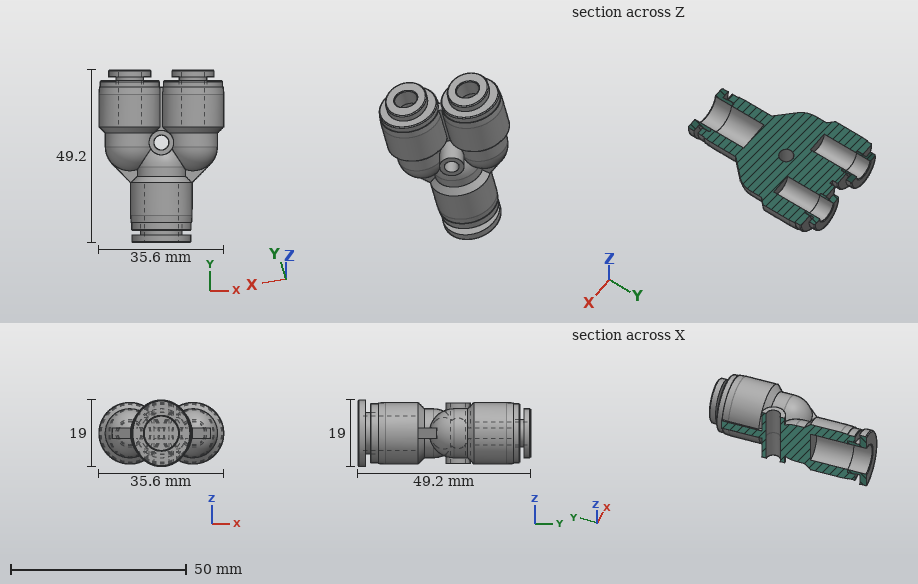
import cadquery as cq
import math


port_spacing = 18.0
barrel_radius = 17.6 / 2
taper_depth = 0.15
taper_end_radius = barrel_radius - taper_depth
collar_radius = 16.9 / 2
neck_radius = 14.0 / 2
shoulder_length = barrel_radius - neck_radius
taper_length = 2.0

small_dome_y = -1.2
small_shoulder_y = 4.5
small_taper_y = 13.75
small_collar_length = 1.85
small_collar_chamfer = 0.3

large_dome_y = neck_radius
large_shoulder_y = 11.4
large_taper_y = 20.7
large_collar_length = 2.3
large_collar_chamfer = 0.2

small_sleeve_diameter = 7.9
small_bore_diameter = 6.55
small_flange_width = 12.0
small_flange_height = 14.0
small_flange_thickness = 2.0
small_flange_gap = 1.1
large_sleeve_diameter = 11.9
large_bore_diameter = 9.75
large_flange_width = 16.8
large_flange_height = 19.0
large_flange_thickness = 2.2
large_flange_gap = 1.3
flange_chamfer = 0.3
bore_chamfer = 0.25

boss_diameter = 7.0
boss_height = 17.3
mounting_hole_diameter = 4.2
web_thickness = 3.0

small_collar_y = small_taper_y + taper_length
small_face_y = small_collar_y + small_collar_length
large_face_y = large_taper_y + taper_length + large_collar_length
small_port_xs = (-port_spacing / 2, port_spacing / 2)


def place_port(shape, x, facing):
    """Move a shape built along +Y to a port at x, turned to face +Y (1) or -Y (-1)."""
    turned = shape if facing > 0 else shape.rotate((0, 0, 0), (0, 0, 1), 180)
    return turned.translate((x, 0, 0))


def cylinder_y(diameter, start_y, length):
    """Cylinder on the Y axis, running toward +Y from start_y."""
    circle = cq.Workplane("XZ", origin=(0, start_y, 0)).circle(diameter / 2)
    return circle.extrude(-length)


def port_shell(dome_y, shoulder_y, taper_y, face_y, collar_chamfer):
    """Solid port along +Y: dome, neck, shoulder, barrel, tapered end and collar."""
    taper_end_y = taper_y + taper_length
    dome_middle = neck_radius * math.sqrt(0.5)
    return (
        cq.Workplane("XY")
        .moveTo(0, dome_y - neck_radius)
        .threePointArc((dome_middle, dome_y - dome_middle), (neck_radius, dome_y))
        .lineTo(neck_radius, shoulder_y - shoulder_length)
        .lineTo(barrel_radius, shoulder_y)
        .lineTo(barrel_radius, taper_y)
        .lineTo(taper_end_radius, taper_end_y)
        .lineTo(collar_radius, taper_end_y)
        .lineTo(collar_radius, face_y - collar_chamfer)
        .lineTo(collar_radius - collar_chamfer, face_y)
        .lineTo(0, face_y)
        .close()
        .revolve(360, (0, 0, 0), (0, 1, 0))
    )


def side_webs():
    """Flat web whose edges run from the large barrel to a tangent point on each dome."""
    corner_x = barrel_radius
    corner_y = -large_shoulder_y
    dome_x = port_spacing / 2
    run_x = corner_x - dome_x
    run_y = corner_y - small_dome_y
    centre_distance = math.hypot(run_x, run_y)
    tangent_angle = math.atan2(run_y, run_x) + math.acos(neck_radius / centre_distance)
    tangent_x = dome_x + neck_radius * math.cos(tangent_angle)
    tangent_y = small_dome_y + neck_radius * math.sin(tangent_angle)
    outline = [
        (-corner_x, corner_y),
        (corner_x, corner_y),
        (tangent_x, tangent_y),
        (dome_x, small_dome_y),
        (-dome_x, small_dome_y),
        (-tangent_x, tangent_y),
    ]
    web = cq.Workplane("XY").polyline(outline).close()
    return web.extrude(web_thickness / 2, both=True)


def middle_web():
    """Flat web that joins the two small ports, from the large dome to the foot of their collars."""
    length = small_collar_y + large_dome_y
    middle_y = (small_collar_y - large_dome_y) / 2
    web = cq.Workplane("XY").center(0, middle_y).rect(port_spacing / 2, length)
    return web.extrude(web_thickness / 2, both=True)


def cylinder_z(diameter, height):
    """Cylinder on the Z axis, centred on the origin."""
    return cq.Workplane("XY").circle(diameter / 2).extrude(height / 2, both=True)


def port_socket(face_y, collar_length, floor_y, sleeve_diameter, bore):
    """Stepped blind hole along +Y: a seat for the sleeve, then the tube bore down to the floor."""
    seat = cylinder_y(sleeve_diameter, face_y - collar_length, collar_length)
    return seat.union(cylinder_y(bore, floor_y, face_y - floor_y))


def make_body():
    large_shell = port_shell(
        large_dome_y, large_shoulder_y, large_taper_y, large_face_y, large_collar_chamfer
    )
    body = place_port(large_shell, 0, -1)
    small_shell = port_shell(
        small_dome_y, small_shoulder_y, small_taper_y, small_face_y, small_collar_chamfer
    )
    for x in small_port_xs:
        body = body.union(place_port(small_shell, x, 1))
    body = body.union(side_webs())
    body = body.union(middle_web())
    body = body.union(cylinder_z(boss_diameter, boss_height))
    body = body.cut(cylinder_z(mounting_hole_diameter, boss_height))

    large_socket = port_socket(
        large_face_y, large_collar_length, large_shoulder_y, large_sleeve_diameter, large_bore_diameter
    )
    body = body.cut(place_port(large_socket, 0, -1))
    small_socket = port_socket(
        small_face_y, small_collar_length, small_shoulder_y, small_sleeve_diameter, small_bore_diameter
    )
    for x in small_port_xs:
        body = body.cut(place_port(small_socket, x, 1))
    return body


def make_sleeve(face_y, insertion, diameter, bore, width, height, thickness, gap):
    """Release sleeve along +Y, held in the collar, with an oval flange outside the port face."""
    flange_y = face_y + gap
    outer_y = flange_y + thickness
    start_y = face_y - insertion
    flange = (
        cq.Workplane("XZ", origin=(0, flange_y, 0))
        .ellipse(width / 2, height / 2)
        .extrude(-thickness)
        .faces(">Y")
        .chamfer(flange_chamfer)
    )
    tube = cylinder_y(diameter, start_y, flange_y - start_y)
    sleeve = tube.union(flange).cut(cylinder_y(bore, start_y, outer_y - start_y))
    bore_rim = cq.selectors.RadiusNthSelector(0)
    return sleeve.faces(">Y").edges(bore_rim).chamfer(bore_chamfer)


body = make_body()

large_sleeve_shape = make_sleeve(
    large_face_y, large_collar_length, large_sleeve_diameter, large_bore_diameter,
    large_flange_width, large_flange_height, large_flange_thickness, large_flange_gap,
)
large_sleeve = place_port(large_sleeve_shape, 0, -1)

small_sleeve_shape = make_sleeve(
    small_face_y, small_collar_length, small_sleeve_diameter, small_bore_diameter,
    small_flange_width, small_flange_height, small_flange_thickness, small_flange_gap,
)
small_sleeves = [place_port(small_sleeve_shape, x, 1) for x in small_port_xs]

result = cq.Compound.makeCompound(
    [body.val(), large_sleeve.val(), *[sleeve.val() for sleeve in small_sleeves]]
)